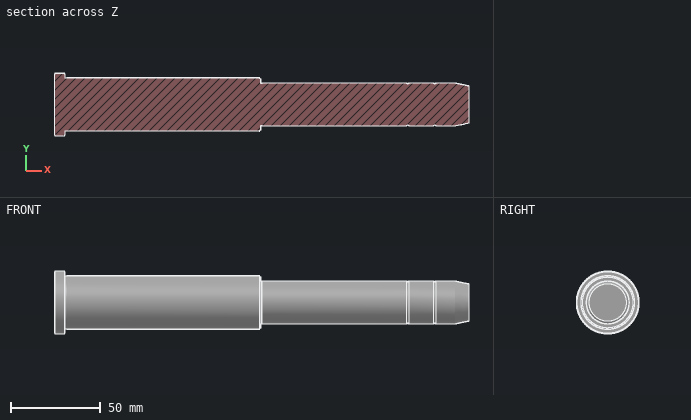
import cadquery as cq

total_length = 231.0
head_diameter = 35.0
body_diameter = 30.0
shank_diameter = 24.0
tip_diameter = 20.8

head_thickness = 6.0
shoulder_position = 115.0
nose_length = 7.6

head_chamfer = 0.5
body_chamfer = 1.0

undercut_depth = 0.2
undercut_floor = 0.2
undercut_ramp = 1.0

relief_depth = 0.12
relief_width = 0.7

groove_width = 1.2
groove_depth = 0.35
rear_groove_center = 196.8
groove_count = 2
groove_spacing = 15.0

head_radius = head_diameter / 2
body_radius = body_diameter / 2
shank_radius = shank_diameter / 2
undercut_radius = body_radius - undercut_depth
undercut_floor_end = head_thickness + undercut_floor
relief_radius = shank_radius - relief_depth
relief_end = shoulder_position + relief_width

head = [
    (0, 0),
    (0, head_radius - head_chamfer),
    (head_chamfer, head_radius),
    (head_thickness - head_chamfer, head_radius),
    (head_thickness, head_radius - head_chamfer),
]
body = [
    (head_thickness, undercut_radius),
    (undercut_floor_end, undercut_radius),
    (undercut_floor_end + undercut_ramp, body_radius),
    (shoulder_position - body_chamfer, body_radius),
    (shoulder_position, body_radius - body_chamfer),
]
shank = [
    (shoulder_position, relief_radius),
    (relief_end, relief_radius),
    (relief_end, shank_radius),
]
nose = [
    (total_length - nose_length, shank_radius),
    (total_length, tip_diameter / 2),
    (total_length, 0),
]


def add_groove(outline, center):
    """Extend the outline along the shank up to a groove, then through its concave arc."""
    half_width = groove_width / 2
    return outline.lineTo(center - half_width, shank_radius).threePointArc(
        (center, shank_radius - groove_depth),
        (center + half_width, shank_radius),
    )


outline = cq.Workplane("XY").polyline(head + body + shank)
for index in range(groove_count):
    outline = add_groove(outline, rear_groove_center + index * groove_spacing)
for position, radius in nose:
    outline = outline.lineTo(position, radius)

result = outline.close().revolve(360, (0, 0, 0), (1, 0, 0))